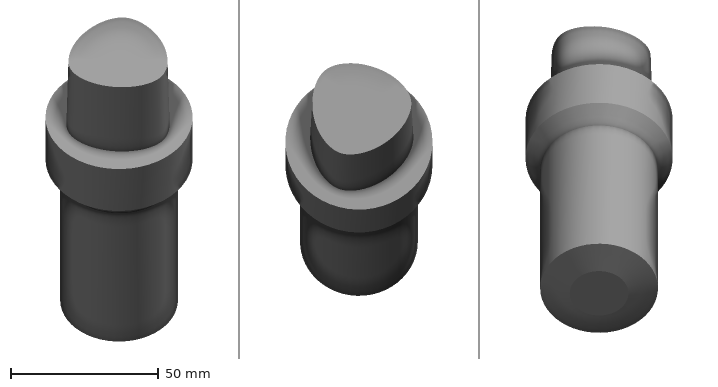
import cadquery as cq
import math

total_height = 120.0
taper_height = 30.0
flange_height = 20.0
cone_height = 6.0
tip_height = 2.6

flange_diameter = 49.9
shank_diameter = 40.0
tip_diameter = 19.9

stub_base_width = 35.0
stub_top_width = 33.6
lobe_offset = 1.1
profile_points = 72

flange_top = total_height - taper_height
flange_bottom = flange_top - flange_height
shank_top = flange_bottom - cone_height


def turned_body():
    """Shank, cone and flange revolved about Z."""
    half_section = [
        (0, 0),
        (tip_diameter / 2, 0),
        (shank_diameter / 2, tip_height),
        (shank_diameter / 2, shank_top),
        (flange_diameter / 2, flange_bottom),
        (flange_diameter / 2, flange_top),
        (0, flange_top),
    ]
    return cq.Workplane("XZ").polyline(half_section).close().revolve(360, (0, 0, 0), (0, 1, 0))


def lobed_wire(width, height):
    """Closed constant-width curve with three lobes, one of them pointing to -Y."""
    points = []
    for i in range(profile_points):
        angle = 2 * math.pi * i / profile_points
        reach = width / 2 + lobe_offset * math.sin(3 * angle)
        reach_rate = 3 * lobe_offset * math.cos(3 * angle)
        x = reach * math.cos(angle) - reach_rate * math.sin(angle)
        y = reach * math.sin(angle) + reach_rate * math.cos(angle)
        points.append(cq.Vector(x, y, height))
    return cq.Wire.assembleEdges([cq.Edge.makeSpline(points, periodic=True)])


def tapered_stub():
    """Lobed stub narrowing from the flange to the top face."""
    base = lobed_wire(stub_base_width, flange_top)
    top = lobed_wire(stub_top_width, total_height)
    return cq.Workplane(cq.Solid.makeLoft([base, top], True))


result = turned_body().union(tapered_stub())